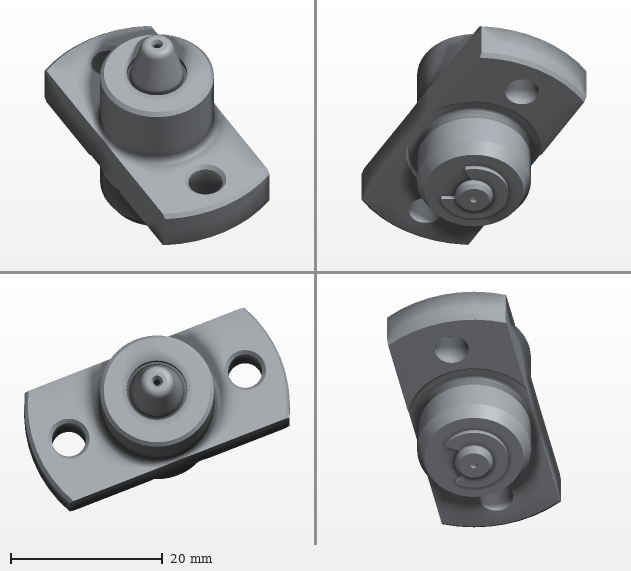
import cadquery as cq
import math


quarter_arc_inset = 1 - math.cos(math.pi / 4)

flange_radius = 17.5
flange_width = 16.0
flange_thickness = 6.0
edge_chamfer = 0.5
screw_hole_radius = 2.25
screw_hole_offset = 12.5

barrel_radius = 7.5
barrel_top = 9.0
barrel_bottom = -13.5
root_fillet = 1.0
undercut_depth = 0.3
undercut_rounding = 0.42
undercut_outer_radius = 9.0
undercut_end = -7.5
lead_in_height = 1.7
lead_in_angle = 30.0
lead_in_inset = lead_in_height * math.tan(math.radians(lead_in_angle))
bore_radius = 4.0

nozzle_top = 14.63
cone_top_radius = 2.0
cone_base_radius = 3.5
cone_base_rise = 0.18
cone_base = barrel_top + cone_base_rise
neck_fillet = 0.4
shoulder_recess = 0.75
shoulder = barrel_top - shoulder_recess
tip_rounding = 1.0

collar_radius = 4.5
collar_height = 0.63
collar_bottom = barrel_bottom - collar_height
notch_angle = 60.0
notch_core_radius = 2.0
notch_rounding = 0.18
tail_radius = 2.5
tail_bottom = -15.3
tail_chamfer = 0.5

channel_radius = 0.45
channel_mouth_radius = 0.77
countersink_angle = 60.0


def turned(outline):
    """Revolve a closed (radius, Z) outline about the Z axis."""
    return outline.close().revolve(360, (0, 0, 0), (0, 1, 0))


def make_turned_housing():
    """Barrel and full round flange, with the through bore left open."""
    flange_bottom = -flange_thickness
    undercut_ceiling = flange_bottom + undercut_depth
    undercut_radius = barrel_radius - undercut_depth
    fillet_mid_radius = barrel_radius + root_fillet * quarter_arc_inset
    fillet_mid_height = root_fillet * quarter_arc_inset
    undercut_mid_point = (
        undercut_radius + undercut_rounding * quarter_arc_inset,
        undercut_ceiling - undercut_rounding * quarter_arc_inset,
    )
    outline = (
        cq.Workplane("XZ")
        .moveTo(bore_radius, barrel_top)
        .lineTo(barrel_radius - edge_chamfer, barrel_top)
        .lineTo(barrel_radius, barrel_top - edge_chamfer)
        .lineTo(barrel_radius, root_fillet)
        .threePointArc((fillet_mid_radius, fillet_mid_height), (barrel_radius + root_fillet, 0))
        .lineTo(flange_radius - edge_chamfer, 0)
        .lineTo(flange_radius, -edge_chamfer)
        .lineTo(flange_radius, flange_bottom + edge_chamfer)
        .lineTo(flange_radius - edge_chamfer, flange_bottom)
        .lineTo(undercut_outer_radius, flange_bottom)
        .lineTo(undercut_outer_radius - undercut_depth, undercut_ceiling)
        .lineTo(undercut_radius + undercut_rounding, undercut_ceiling)
        .threePointArc(undercut_mid_point, (undercut_radius, undercut_ceiling - undercut_rounding))
        .lineTo(undercut_radius, undercut_end + undercut_depth)
        .lineTo(barrel_radius, undercut_end)
        .lineTo(barrel_radius, barrel_bottom + lead_in_height)
        .lineTo(barrel_radius - lead_in_inset, barrel_bottom)
        .lineTo(bore_radius, barrel_bottom)
    )
    return turned(outline)


def make_screw_hole():
    """Cutter for one flange hole, countersunk at the upper face."""
    outline = (
        cq.Workplane("XZ")
        .moveTo(0, 0)
        .lineTo(screw_hole_radius + edge_chamfer, 0)
        .lineTo(screw_hole_radius, -edge_chamfer)
        .lineTo(screw_hole_radius, -flange_thickness)
        .lineTo(0, -flange_thickness)
    )
    return turned(outline)


def make_housing():
    """Turned housing with two parallel flats and two screw holes."""
    height = barrel_top - barrel_bottom
    slab = (
        cq.Workplane("XY")
        .box(2 * flange_radius, flange_width, height, centered=(True, True, False))
        .translate((0, 0, barrel_bottom))
    )
    body = make_turned_housing().intersect(slab)
    for side in (-1, 1):
        body = body.cut(make_screw_hole().translate((side * screw_hole_offset, 0, 0)))
    return body


def make_cone_and_shank():
    """Rounded cone on a shank that fills the bore, with the channel and its countersink."""
    cone_tilt = math.atan2(cone_base_radius - cone_top_radius, nozzle_top - cone_base)
    turn = math.pi / 2 - cone_tilt
    tangent_length = tip_rounding * math.tan(turn / 2)
    flat_radius = cone_top_radius - tangent_length
    round_centre = nozzle_top - tip_rounding
    mid_point = (
        flat_radius + tip_rounding * math.sin(turn / 2),
        round_centre + tip_rounding * math.cos(turn / 2),
    )
    cone_start = (
        flat_radius + tip_rounding * math.sin(turn),
        round_centre + tip_rounding * math.cos(turn),
    )
    neck_mid_point = (
        cone_base_radius + neck_fillet * quarter_arc_inset,
        shoulder + neck_fillet * quarter_arc_inset,
    )
    countersink_inset = channel_mouth_radius - channel_radius
    countersink_depth = countersink_inset / math.tan(math.radians(countersink_angle / 2))
    outline = (
        cq.Workplane("XZ")
        .moveTo(channel_mouth_radius, nozzle_top)
        .lineTo(flat_radius, nozzle_top)
        .threePointArc(mid_point, cone_start)
        .lineTo(cone_base_radius, cone_base)
        .lineTo(cone_base_radius, shoulder + neck_fillet)
        .threePointArc(neck_mid_point, (cone_base_radius + neck_fillet, shoulder))
        .lineTo(bore_radius, shoulder)
        .lineTo(bore_radius, barrel_bottom)
        .lineTo(channel_radius, barrel_bottom)
        .lineTo(channel_radius, nozzle_top - countersink_depth)
    )
    return turned(outline)


def make_collar():
    """Collar disc with a V notch down to a round core, its rim corners rounded."""
    base = cq.Workplane("XY", origin=(0, 0, collar_bottom))
    disc = base.circle(collar_radius).extrude(collar_height)
    core = base.circle(notch_core_radius).extrude(collar_height)
    apex_y = notch_core_radius
    reach = apex_y + 2 * collar_radius
    half_width = reach * math.tan(math.radians(notch_angle / 2))
    wedge = (
        base.polyline([(0, apex_y), (-half_width, apex_y - reach), (half_width, apex_y - reach)])
        .close()
        .extrude(collar_height)
    )
    collar = disc.cut(wedge.cut(core))
    collar = collar.edges("|Z").edges("<Y").fillet(notch_rounding)
    channel = base.circle(channel_radius).extrude(collar_height)
    return collar.cut(channel)


def make_tail():
    """Chamfered tail below the collar."""
    outline = (
        cq.Workplane("XZ")
        .moveTo(channel_radius, collar_bottom)
        .lineTo(tail_radius, collar_bottom)
        .lineTo(tail_radius, tail_bottom + tail_chamfer)
        .lineTo(tail_radius - tail_chamfer, tail_bottom)
        .lineTo(channel_radius, tail_bottom)
    )
    return turned(outline)


def make_nozzle():
    """Cone and shank, collar and tail as one solid."""
    return make_cone_and_shank().union(make_collar()).union(make_tail())


housing = make_housing()
nozzle = make_nozzle()

result = cq.Compound.makeCompound([housing.val(), nozzle.val()])